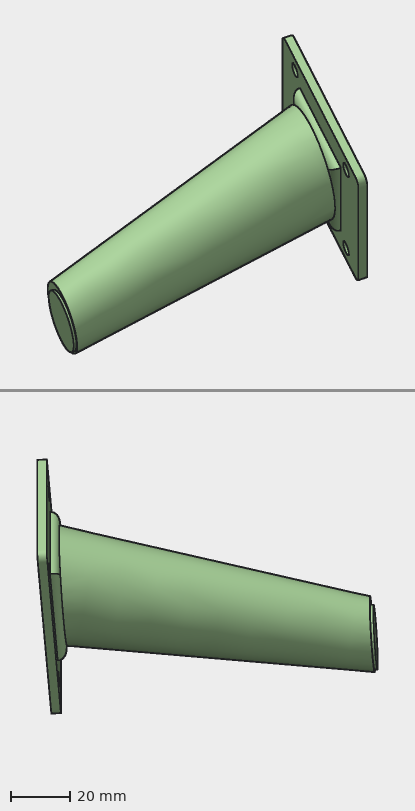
import cadquery as cq
import math

TILT = 15.0

PLATE_WIDTH = 67.0
PLATE_HEIGHT = 58.0
PLATE_THICKNESS = 3.25
PLATE_CORNER_RADIUS = 3.0
HOLE_DIAMETER = 5.0
HOLE_SPACING = 45.0

PAD_SIDE = 36.0
PAD_HEIGHT = 3.25
PAD_ROUND = 3.0

LEG_LENGTH = 106.1
LEG_OFFSET = 0.4
LEG_BASE_DIAMETER = 40.0
LEG_END_DIAMETER = 25.2

FOOT_DIAMETER = 22.0
FOOT_HEIGHT = 1.0
FOOT_OFFSET = 1.0

TILT_RADIANS = math.radians(TILT)
ACROSS = cq.Vector(math.cos(TILT_RADIANS), -math.sin(TILT_RADIANS), 0)
OUTWARD = cq.Vector(-math.sin(TILT_RADIANS), -math.cos(TILT_RADIANS), 0)

PLATE_FACE = cq.Vector(0, 0, 0)
LEG_BASE = OUTWARD * PAD_HEIGHT + ACROSS * LEG_OFFSET
LEG_END = LEG_BASE + cq.Vector(0, -LEG_LENGTH, 0)


def tilted_plane(origin):
    """Plane parallel to the plate whose normal points towards the leg."""
    return cq.Workplane(cq.Plane(origin=origin, xDir=ACROSS, normal=OUTWARD))


def make_mount():
    """Drilled plate with the rounded square pad on its front face."""
    plate = (
        tilted_plane(PLATE_FACE)
        .rect(PLATE_WIDTH, PLATE_HEIGHT)
        .extrude(-PLATE_THICKNESS)
        .edges("|(%f, %f, 0)" % (OUTWARD.x, OUTWARD.y))
        .fillet(PLATE_CORNER_RADIUS)
    )
    holes = (
        tilted_plane(PLATE_FACE)
        .rect(HOLE_SPACING, HOLE_SPACING, forConstruction=True)
        .vertices()
        .circle(HOLE_DIAMETER / 2)
        .extrude(-PLATE_THICKNESS)
    )
    pad = (
        tilted_plane(PLATE_FACE)
        .rect(PAD_SIDE, PAD_SIDE)
        .extrude(PAD_HEIGHT)
        .faces(cq.selectors.DirectionMinMaxSelector(OUTWARD))
        .edges()
        .fillet(PAD_ROUND)
    )
    return plate.cut(holes).union(pad)


def make_leg():
    """Cone along Y, trimmed at both ends parallel to the plate, plus its foot."""
    overrun = LEG_BASE_DIAMETER / 2
    taper = (LEG_BASE_DIAMETER - LEG_END_DIAMETER) / 2 / LEG_LENGTH
    wide_radius = LEG_BASE_DIAMETER / 2 + taper * overrun
    narrow_radius = LEG_END_DIAMETER / 2 - taper * overrun
    cone = (
        cq.Workplane("XY", origin=LEG_BASE.toTuple())
        .moveTo(0, overrun)
        .lineTo(wide_radius, overrun)
        .lineTo(narrow_radius, -LEG_LENGTH - overrun)
        .lineTo(0, -LEG_LENGTH - overrun)
        .close()
        .revolve(360, (0, 0), (0, 1))
    )
    trim_side = 3 * LEG_BASE_DIAMETER
    slab_height = (LEG_END - LEG_BASE).dot(OUTWARD)
    slab = tilted_plane(LEG_BASE).rect(trim_side, trim_side).extrude(slab_height)
    foot = tilted_plane(LEG_END).center(FOOT_OFFSET, 0).circle(FOOT_DIAMETER / 2).extrude(FOOT_HEIGHT)
    return cone.intersect(slab).union(foot)


mount = make_mount()
leg = make_leg()

result = cq.Compound.makeCompound([mount.val(), leg.val()])